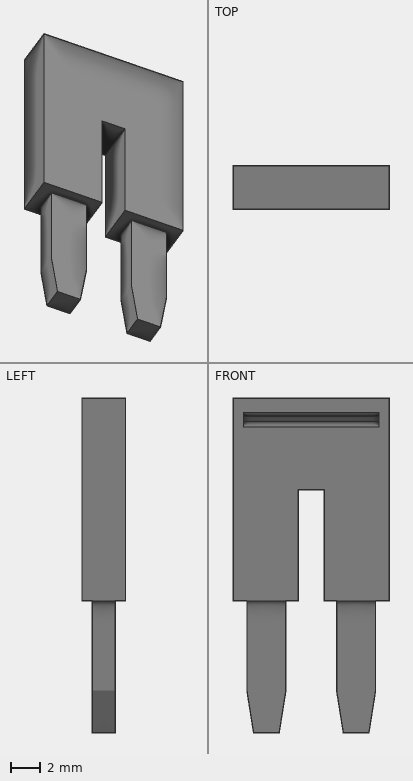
import cadquery as cq

total_height = 22.98
housing_width = 10.7
housing_depth = 3.0
housing_height = 13.93
slot_width = 1.77
slot_height = 7.63

pin_width = 2.7
pin_tip_width = 1.77
pin_thickness = 1.6
pin_spacing = 6.15
pin_taper_height = 2.9
pin_length = total_height - housing_height

groove_width = 9.28
groove_top_drop = 0.99
groove_wall_top_drop = 1.26
groove_wall_bottom_drop = 1.6
groove_bottom_drop = 1.98
groove_depth = 1.0

front_y = -housing_depth / 2


def make_housing():
    """Block standing on z = 0, with the slot cut through from front to back."""
    block = cq.Workplane("XY").box(
        housing_width, housing_depth, housing_height, centered=(True, True, False)
    )
    slot = cq.Workplane("XY").box(
        slot_width, housing_depth, slot_height, centered=(True, True, False)
    )
    return block.cut(slot)


def make_groove():
    """Trapezoidal prism narrowing from the front face to the back wall."""
    return (
        cq.Workplane("YZ")
        .polyline([
            (front_y, housing_height - groove_top_drop),
            (front_y + groove_depth, housing_height - groove_wall_top_drop),
            (front_y + groove_depth, housing_height - groove_wall_bottom_drop),
            (front_y, housing_height - groove_bottom_drop),
        ])
        .close()
        .extrude(groove_width / 2, both=True)
    )


def make_pin(center_x):
    """Flat pin hanging below the housing, narrowing towards its tip."""
    half_width = pin_width / 2
    half_tip = pin_tip_width / 2
    taper_z = pin_taper_height - pin_length
    return (
        cq.Workplane("XZ")
        .polyline([
            (center_x - half_width, 0),
            (center_x - half_width, taper_z),
            (center_x - half_tip, -pin_length),
            (center_x + half_tip, -pin_length),
            (center_x + half_width, taper_z),
            (center_x + half_width, 0),
        ])
        .close()
        .extrude(pin_thickness / 2, both=True)
    )


result = make_housing().cut(make_groove())
for side in (-1, 1):
    result = result.union(make_pin(side * pin_spacing / 2))